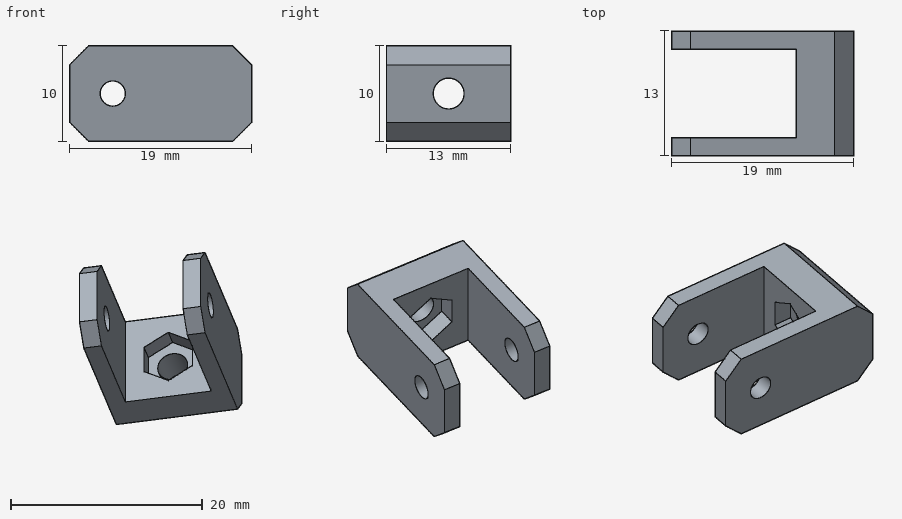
import cadquery as cq

length = 19.0
width = 13.0
height = 10.0
corner_chamfer = 2.0

arm_thickness = 1.9
slot_depth = 13.0
slot_width = width - 2 * arm_thickness

pin_diameter = 2.6
pin_from_arm_tip = 4.5

bolt_diameter = 3.2
nut_across_corners = 6.0
nut_pocket_depth = 2.0

arm_tip_x = -length / 2
slot_floor_x = arm_tip_x + slot_depth
bridge_thickness = length - slot_depth


def make_body():
    """Block with all four corners of its XZ outline chamfered."""
    block = cq.Workplane("XY").box(length, width, height)
    return block.edges("|Y").chamfer(corner_chamfer)


def make_slot():
    """Rectangular gap that separates the arms over the full height."""
    slot = cq.Workplane("XY").box(slot_depth, slot_width, height)
    return slot.translate((arm_tip_x + slot_depth / 2, 0, 0))


def make_pin_hole():
    """Cylinder along Y that crosses both arms."""
    pin = cq.Workplane("XZ").center(arm_tip_x + pin_from_arm_tip, 0)
    return pin.circle(pin_diameter / 2).extrude(width / 2, both=True)


def make_bolt_hole():
    """Cylinder along X that passes through the bridge."""
    bridge_face = cq.Workplane("YZ", origin=(slot_floor_x, 0, 0))
    return bridge_face.circle(bolt_diameter / 2).extrude(bridge_thickness)


def make_nut_pocket():
    """Hexagonal recess in the slot floor, with corners pointing up and down."""
    slot_floor = cq.Workplane("YZ", origin=(slot_floor_x, 0, 0))
    hexagon = slot_floor.transformed(rotate=(0, 0, 90)).polygon(6, nut_across_corners)
    return hexagon.extrude(nut_pocket_depth)


result = (
    make_body()
    .cut(make_slot())
    .cut(make_pin_hole())
    .cut(make_bolt_hole())
    .cut(make_nut_pocket())
)